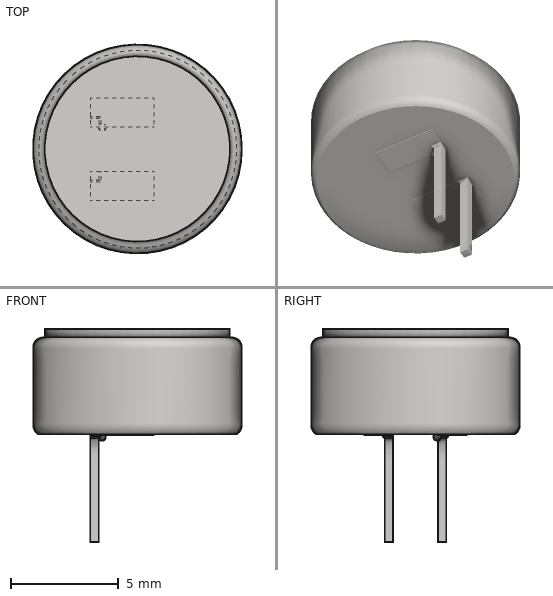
import cadquery as cq
import math

total_height = 9.9
pin_length = 5.0
can_radius = 4.85
can_height = 4.5
shoulder_radius = 0.495
crimp_height = 0.48
crimp_inset = 0.26

disc_radius = 4.3
disc_height = total_height - pin_length - can_height

pin_width = 0.4
pin_x = -1.99
pin_y = 1.24

pad_thickness = 0.03
pad_end_x = 0.76
pad_outer_y = 2.39

collar_height = 0.17
collar_reach = 0.09
collar_bevel = 0.08
blob_radius = 0.18
blob_x = -1.64
blob_y = 1.01
blob_depth = 0.12

pin_left_x = pin_x - pin_width / 2
pin_right_x = pin_x + pin_width / 2
pin_inner_y = pin_y - pin_width / 2
pin_outer_y = pin_y + pin_width / 2


def make_can():
    """Revolved can: rolled lower rim, straight wall, rounded shoulder and top disc."""
    top_flat_radius = can_radius - shoulder_radius
    shoulder_start = can_height - shoulder_radius
    diagonal = shoulder_radius * math.sqrt(0.5)
    shoulder_middle = (top_flat_radius + diagonal, shoulder_start + diagonal)

    rim_angle = 2 * math.atan2(crimp_inset, crimp_height)
    rim_radius = crimp_height / math.sin(rim_angle)
    rim_middle = (
        can_radius - rim_radius * (1 - math.cos(rim_angle / 2)),
        crimp_height - rim_radius * math.sin(rim_angle / 2),
    )

    profile = (
        cq.Workplane("XZ")
        .lineTo(can_radius - crimp_inset, 0)
        .threePointArc(rim_middle, (can_radius, crimp_height))
        .lineTo(can_radius, shoulder_start)
        .threePointArc(shoulder_middle, (top_flat_radius, can_height))
        .lineTo(disc_radius, can_height)
        .lineTo(disc_radius, can_height + disc_height)
        .lineTo(0, can_height + disc_height)
        .close()
    )
    return profile.revolve(360, (0, 0, 0), (0, 1, 0))


def make_slab(x_range, y_range, depth):
    """Box hanging down from the underside of the can."""
    x_start, x_end = x_range
    y_start, y_end = y_range
    return (
        cq.Workplane("XY")
        .box(x_end - x_start, y_end - y_start, depth, centered=False)
        .translate((x_start, y_start, -depth))
    )


def make_collar():
    """Solder wedge on the outer and +X sides of a pin, bevelled towards the pin."""
    collar = make_slab(
        (pin_left_x, pin_right_x + collar_reach),
        (pin_inner_y, pin_outer_y + collar_reach),
        collar_height,
    )
    return collar.faces("<Z").edges(">X or >Y").chamfer(collar_bevel)


def make_terminal():
    """Pin on the +Y side with its pad and solder collar."""
    pin = make_slab((pin_left_x, pin_right_x), (pin_inner_y, pin_outer_y), pin_length)
    pad = make_slab((pin_left_x, pad_end_x), (pin_inner_y, pad_outer_y), pad_thickness)
    return pin.union(pad).union(make_collar())


terminal = make_terminal()
solder_blob = cq.Workplane("XY").sphere(blob_radius).translate((blob_x, blob_y, -blob_depth))

result = make_can()
result = result.union(terminal)
result = result.union(terminal.mirror("XZ"))
result = result.union(solder_blob)